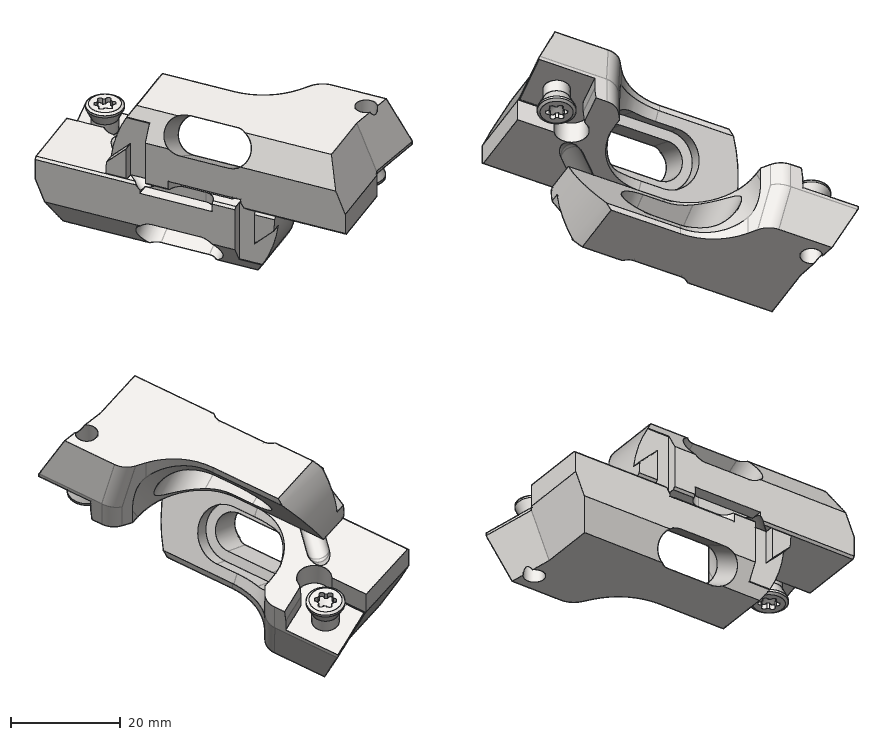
import cadquery as cq
import math


LENGTH_LEFT = 30.95
LENGTH_RIGHT = 16.85
HEIGHT = 14.7
DEPTH = 25.9
EDGE_BREAK = 0.45
FRONT_CHAMFER_HEIGHT = 5.5
FRONT_CHAMFER_DEPTH = 3.15
BACK_LAND = 5.4
BACK_RELIEF = 2.1
END_RADIUS = 25.0

WAIST_Y = 14.55
WAIST_RADIUS = 13.0
WAIST_START_X = -2.15
WAIST_ANGLE = 56
NOSE_FILLET = 3.9

FLARE_Y = 14.4
OVERALL_HALF = 32.65
SEAT_Z = -4.65
LAND_Z = -5.2
UNDERCUT = 4.2
UNDERCUT_SLOPE = UNDERCUT / (HEIGHT + SEAT_Z)
FLARE_X = -LENGTH_LEFT + UNDERCUT_SLOPE * (SEAT_Z - LAND_Z)

POCKET_FRONT_X = -23.5
POCKET_NECK = (-18.8, 18.15)
POCKET_CORNER = (-20.2, 19.2)
POCKET_BACK_X = -21.3
POCKET_DRAFT = 0.25
POCKET_DRAFT_Z = -2.2
SEAT_GROOVE_WIDTH = 0.3
SEAT_GROOVE_DEPTH = 0.2
RELIEF_CENTER = (-20.85, 15.9)
RELIEF_RADIUS = 3.2

SCREW_CENTER = (-26.05, 20.05)
TAP_HOLE_DIAMETER = 4.1
SHANK_DIAMETER = 5.0
HEAD_DIAMETER = 7.1
HEAD_TOP_DIAMETER = 6.0
HEAD_TOP_Z = 0.9
HEAD_RIM_TOP_Z = 0.6
HEAD_RIM_BOTTOM_Z = 0.1
HEAD_CONE_BOTTOM_Z = -2.1
SHANK_BOTTOM_Z = -9.8
SOCKET_DEPTH = 1.0
SOCKET_TIP_DEPTH = 1.75
SOCKET_CORE_RADIUS = 1.5
LOBE_COUNT = 6
LOBE_RADIUS = 0.5
LOBE_OFFSET = 1.5

SLOT_CENTER_X = -2.8
SLOT_SPACING = 9.7
SLOT_RADIUS = 3.8
SLOT_TOP_Z = -8.3
COUNTERBORE_RADIUS = 5.75
COUNTERBORE_DEPTH = 3.15

STEP_X = 8.95
STEP_DEPTH = 2.0
STEP_HEIGHT = 12.4
LUG_X = 12.8
LUG_HEIGHT = 6.85

EDGE_SLOT_LEFT = -10.05
EDGE_SLOT_RIGHT = 4.4
EDGE_SLOT_DEPTH = 2.1
EDGE_SLOT_WIDTH = 2.4
EDGE_SLOT_RADIUS = 2.35

CHANNEL_DIAMETER = 4.1
CHANNEL_FRONT_X = -7.85
CHANNEL_LENGTH = 13.9
CHANNEL_RUN_OUT = 3.0

GULLET_FRONT_Y = 6.85
GULLET_SLOPE = 60
GULLET_RADIUS = 12.0
GULLET_ARC_X = -2.4

MARGIN = 6.5


def block():
    """Block common to the plan, front and side outlines."""
    sweep = math.radians(WAIST_ANGLE)

    def waist_point(angle):
        return (WAIST_START_X - WAIST_RADIUS * math.sin(angle),
                WAIST_Y + WAIST_RADIUS * (1 - math.cos(angle)))

    arc_end = waist_point(sweep)
    nose_x = arc_end[0] - (DEPTH - arc_end[1]) / math.tan(sweep)
    plan = (
        cq.Workplane("XY").moveTo(-LENGTH_LEFT, 0).lineTo(LENGTH_RIGHT, 0).lineTo(LENGTH_RIGHT, WAIST_Y)
        .lineTo(WAIST_START_X, WAIST_Y).threePointArc(waist_point(sweep / 2), arc_end)
        .lineTo(nose_x, DEPTH).lineTo(-OVERALL_HALF, DEPTH)
        .lineTo(FLARE_X, FLARE_Y).lineTo(-LENGTH_LEFT, FLARE_Y).close()
        .extrude(-HEIGHT)
    )

    def end_point(depth):
        return (LENGTH_RIGHT - END_RADIUS + math.sqrt(END_RADIUS**2 - depth**2), -depth)

    front = (
        cq.Workplane("XZ").moveTo(-OVERALL_HALF, 0).lineTo(LENGTH_RIGHT, 0)
        .threePointArc(end_point(HEIGHT / 2), end_point(HEIGHT))
        .lineTo(-OVERALL_HALF, -HEIGHT).close().extrude(-DEPTH)
    )
    side = (
        cq.Workplane("YZ", origin=(-OVERALL_HALF, 0, 0))
        .polyline([
            (EDGE_BREAK, 0), (DEPTH, 0), (DEPTH, -BACK_LAND), (DEPTH - BACK_RELIEF, -HEIGHT),
            (FRONT_CHAMFER_DEPTH, -HEIGHT), (0, FRONT_CHAMFER_HEIGHT - HEIGHT), (0, -EDGE_BREAK),
        ]).close().extrude(2 * OVERALL_HALF)
    )
    nose = cq.selectors.BoxSelector(
        (nose_x - MARGIN, arc_end[1] + 0.65, -HEIGHT - 0.65), (arc_end[0] - 0.65, DEPTH + 0.65, 0.65))
    body = plan.intersect(side)
    body = body.edges(nose).edges("not(#Z)").fillet(NOSE_FILLET)
    return body.intersect(front)


def end_undercut():
    """Material under the seat removed by the two sloping faces of the left end."""
    def section(y, x, z):
        bottom_x = x + UNDERCUT_SLOPE * (HEIGHT + z)
        points = [(x, z), (bottom_x, -HEIGHT), (x - MARGIN, -HEIGHT), (x - MARGIN, z)]
        return cq.Wire.makePolygon([cq.Vector(px, y, pz) for px, pz in points], close=True)

    front_section = section(0, -LENGTH_LEFT, SEAT_Z)
    middle_section = section(FLARE_Y, -LENGTH_LEFT, SEAT_Z)
    flare_section = section(FLARE_Y, FLARE_X, LAND_Z)
    back_section = section(DEPTH, -OVERALL_HALF, LAND_Z)
    front_part = cq.Solid.makeLoft([front_section, middle_section], True)
    back_part = cq.Solid.makeLoft([flare_section, back_section], True)
    return cq.Workplane(front_part).union(cq.Workplane(back_part))


def insert_pocket():
    """Insert seat with a leaning right wall, a round corner relief and a groove along its front."""
    left_x = -OVERALL_HALF - MARGIN
    wall_y = FLARE_Y - SEAT_GROOVE_WIDTH

    def outline(lean, z):
        back_x = POCKET_BACK_X + lean
        points = [
            (left_x, wall_y), (POCKET_FRONT_X, wall_y),
            RELIEF_CENTER, POCKET_NECK, (POCKET_CORNER[0] + lean, POCKET_CORNER[1]),
            (back_x, DEPTH), (back_x, DEPTH + MARGIN), (left_x, DEPTH + MARGIN),
        ]
        return cq.Wire.makePolygon([cq.Vector(x, y, z) for x, y in points], close=True)

    seat = cq.Solid.makeLoft(
        [outline(0, SEAT_Z), outline(0, POCKET_DRAFT_Z), outline(POCKET_DRAFT, 0)], True)
    relief = cq.Workplane("XY").center(*RELIEF_CENTER).circle(RELIEF_RADIUS).extrude(SEAT_Z)
    groove = cq.Workplane("XY").box(
        POCKET_FRONT_X - left_x, SEAT_GROOVE_WIDTH, SEAT_GROOVE_DEPTH, centered=False
    ).translate((left_x, wall_y, SEAT_Z - SEAT_GROOVE_DEPTH))
    return cq.Workplane(seat).union(relief).union(groove)


def screw_hole():
    """Tapped hole for the shank, continued through the bottom at tap-drill size."""
    at_screw = cq.Workplane("XY").center(*SCREW_CENTER)
    threaded = at_screw.circle(SHANK_DIAMETER / 2).extrude(SHANK_BOTTOM_Z)
    drilled = at_screw.circle(TAP_HOLE_DIAMETER / 2).extrude(-HEIGHT)
    return threaded.union(drilled)


def clamping_slot():
    """Round-ended slot, counterbored from the gullet floor for a bolt head."""
    slope = math.radians(GULLET_SLOPE)
    axis = (0, math.sin(slope), math.cos(slope))
    axis_z = SLOT_TOP_Z - SLOT_RADIUS / math.sin(slope)
    plane = cq.Plane(origin=(SLOT_CENTER_X, 0, axis_z), xDir=(1, 0, 0), normal=axis)
    through = (
        cq.Workplane(plane).slot2D(SLOT_SPACING + 2 * SLOT_RADIUS, 2 * SLOT_RADIUS)
        .extrude(DEPTH, both=True)
    )
    shoulder = GULLET_FRONT_Y * math.sin(slope) - axis_z * math.cos(slope) - COUNTERBORE_DEPTH
    counterbore = (
        cq.Workplane(plane).workplane(offset=shoulder)
        .slot2D(SLOT_SPACING + 2 * COUNTERBORE_RADIUS, 2 * COUNTERBORE_RADIUS).extrude(DEPTH)
    )
    return through.union(counterbore)


def front_step():
    """Step in the front face that leaves a lug with a 45 degree underside."""
    step = cq.Workplane("XY").box(
        LENGTH_RIGHT - STEP_X, STEP_DEPTH, STEP_HEIGHT, centered=False).translate((STEP_X, 0, -STEP_HEIGHT))
    lug_outer_z = LENGTH_RIGHT - LUG_X - LUG_HEIGHT
    lug = (
        cq.Workplane("XZ")
        .polyline([(LUG_X, 0), (LUG_X, -LUG_HEIGHT), (LENGTH_RIGHT, lug_outer_z), (LENGTH_RIGHT, 0)])
        .close().extrude(-STEP_DEPTH)
    )
    return step.cut(lug)


def edge_slot():
    """Shallow slot in the upper front edge, rounded at its right end."""
    slot = cq.Workplane("XY").box(
        EDGE_SLOT_RIGHT - EDGE_SLOT_LEFT, EDGE_SLOT_WIDTH, EDGE_SLOT_DEPTH, centered=False
    ).translate((EDGE_SLOT_LEFT, 0, -EDGE_SLOT_DEPTH))
    return slot.edges("|Z and >X and >Y").fillet(EDGE_SLOT_RADIUS)


def channel():
    """Half-round channel in the upper face that rises out of it at its end."""
    radius = CHANNEL_DIAMETER / 2
    direction = cq.Vector(-1, 1, 0).normalized()
    front = cq.Vector(CHANNEL_FRONT_X, 0, 0)
    bend = front + direction * CHANNEL_LENGTH
    straight = cq.Solid.makeCylinder(
        radius, CHANNEL_LENGTH + MARGIN, front - direction * MARGIN, direction)
    rising = direction * CHANNEL_RUN_OUT + cq.Vector(0, 0, radius)
    run_out = cq.Solid.makeCylinder(radius, 2 * rising.Length, bend, rising)
    joint = cq.Workplane("XY", origin=bend.toTuple()).sphere(radius)
    return cq.Workplane(straight).union(joint).union(cq.Workplane(run_out))


def gullet():
    """Sloping flat floor open at the right end, running into a round left end."""
    slope = math.radians(GULLET_SLOPE)
    uphill = (0, -math.cos(slope), math.sin(slope))
    floor = cq.Plane(origin=(GULLET_ARC_X, GULLET_FRONT_Y, 0), xDir=(1, 0, 0), normal=uphill)
    reach = 2 * GULLET_RADIUS
    return (
        cq.Workplane(floor).lineTo(OVERALL_HALF, 0).lineTo(OVERALL_HALF, reach).lineTo(-GULLET_RADIUS, reach)
        .lineTo(-GULLET_RADIUS, GULLET_RADIUS).radiusArc((0, 0), -GULLET_RADIUS).close()
        .extrude(DEPTH, both=True)
    )


def make_cartridge():
    body = block()
    cuts = [
        end_undercut(), insert_pocket(), screw_hole(), clamping_slot(), front_step(),
        edge_slot(), channel(), gullet(),
    ]
    for cut in cuts:
        body = body.cut(cut)
    return body.val()


def make_screw():
    """Countersunk seat screw with a six-lobed socket."""
    profile = [
        (0, SHANK_BOTTOM_Z), (SHANK_DIAMETER / 2, SHANK_BOTTOM_Z), (SHANK_DIAMETER / 2, HEAD_CONE_BOTTOM_Z),
        (HEAD_DIAMETER / 2, HEAD_RIM_BOTTOM_Z), (HEAD_DIAMETER / 2, HEAD_RIM_TOP_Z),
        (HEAD_TOP_DIAMETER / 2, HEAD_TOP_Z), (0, HEAD_TOP_Z),
    ]
    screw = cq.Workplane("XZ").polyline(profile).close().revolve(360, (0, 0, 0), (0, 1, 0))
    head_top = cq.Workplane("XY", origin=(0, 0, HEAD_TOP_Z))
    core = head_top.circle(SOCKET_CORE_RADIUS).extrude(-SOCKET_TIP_DEPTH)
    lobes = (
        head_top.polarArray(LOBE_OFFSET, 90, 360, LOBE_COUNT).circle(LOBE_RADIUS)
        .extrude(-SOCKET_TIP_DEPTH)
    )
    tip_radius = LOBE_OFFSET + LOBE_RADIUS
    conical_bottom = (
        cq.Workplane("XZ", origin=(0, 0, HEAD_TOP_Z))
        .polyline([(0, 0), (tip_radius, 0), (tip_radius, -SOCKET_DEPTH), (0, -SOCKET_TIP_DEPTH)])
        .close().revolve(360, (0, 0, 0), (0, 1, 0))
    )
    screw = screw.cut(core.union(lobes).intersect(conical_bottom))
    return screw.translate((*SCREW_CENTER, 0)).val()


lower_cartridge = make_cartridge()
lower_screw = make_screw()
bodies = []
for turn in (0, 180):
    for body in (lower_cartridge, lower_screw):
        bodies.append(body.rotate(cq.Vector(0, 0, 0), cq.Vector(0, 1, 0), turn))

result = cq.Compound.makeCompound(bodies)